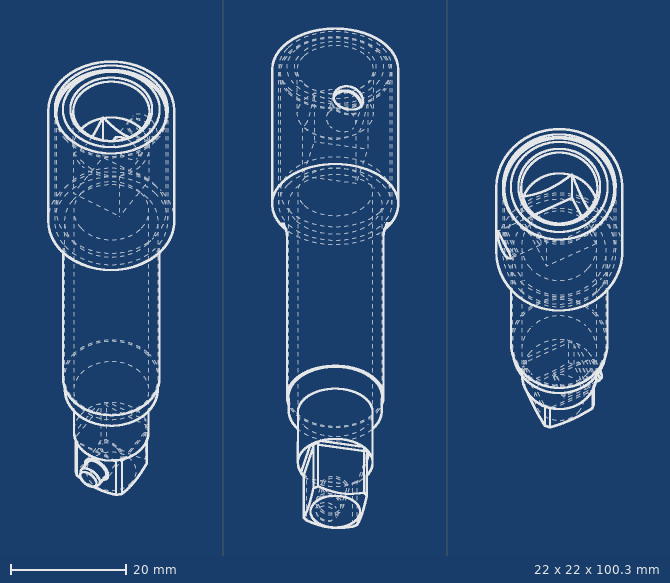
import cadquery as cq
import math

TOTAL_LENGTH = 100.3

HEAD_DIAMETER = 22.0
HEAD_RADIUS = HEAD_DIAMETER / 2
HANDLE_RADIUS = 8.4
HEAD_BOTTOM = 69.4
FLARE_BOTTOM = 62.7
HANDLE_BOTTOM = 26.0
SLEEVE_TOP_FILLET = 0.5
HEAD_CAVITY_RADIUS = 9.8

COLLAR_RADIUS = 8.1
COLLAR_BOTTOM = 22.4
COLLAR_FILLET = 0.5

CORE_HEAD_RADIUS = 9.5
CORE_HEAD_BOTTOM = 72.2
SHANK_RADIUS = 6.5
SHOULDER_HEIGHT = 11.0
RIM_RADIUS = 8.4
RIM_CHAMFER_DEPTH = 1.2

BORE_RADIUS = 6.6
BORE_CHAMFER = 0.5
BORE_DEPTH = 10.4
SQUARE_SOCKET = 9.5
SQUARE_SOCKET_DEPTH = 11.0
LEAD_IN_ANGLE = 45.0

SQUARE_DRIVE = 9.5
DRIVE_EDGE_CHAMFER = 0.7
NECK_CHAMFER = 0.5
DRIVE_TIP_RADIUS = 4.3
DRIVE_TIP_ANGLE = 30.0

PIN_HEIGHT = 5.5
PIN_RADIUS = 2.0
PIN_TIP = 7.5
PIN_SHOULDER = 6.8
PIN_DOME_RADIUS = 1.7
PIN_FLAT_RADIUS = 1.0
PIN_DOME_HEIGHT = 0.1
BUSHING_RADIUS = 2.4
PIN_INNER_END = 0.0

RELEASE_HOLE_RADIUS = 2.6
RELEASE_HOLE_DROP = 15.7

FLARE_STEP = HEAD_RADIUS - HANDLE_RADIUS
FLARE_HEIGHT = HEAD_BOTTOM - FLARE_BOTTOM
FLARE_RADIUS = (FLARE_STEP**2 + FLARE_HEIGHT**2) / (2 * FLARE_STEP)
GROOVE_BOTTOM = TOTAL_LENGTH - RIM_CHAMFER_DEPTH
BORE_BOTTOM = TOTAL_LENGTH - BORE_DEPTH


def cylinder(radius, bottom, top):
    """A cylinder on the tool axis."""
    return cq.Workplane("XY").workplane(offset=bottom).circle(radius).extrude(top - bottom)


def radial_cylinder(radius, height, y_from, y_to):
    """A cylinder along Y at the given height."""
    plane = cq.Plane(origin=(0, y_from, height), xDir=(1, 0, 0), normal=(0, 1, 0))
    return cq.Workplane(plane).circle(radius).extrude(y_to - y_from)


def release_hole():
    """Radial hole from the +Y side into the square socket."""
    return radial_cylinder(RELEASE_HOLE_RADIUS, TOTAL_LENGTH - RELEASE_HOLE_DROP, 0, 2 * HEAD_RADIUS)


def make_outer_sleeve():
    """Grip sleeve: wide head, flare and thin-walled handle."""
    half_angle = math.asin(FLARE_HEIGHT / FLARE_RADIUS) / 2
    flare_middle = (
        HANDLE_RADIUS + FLARE_RADIUS * (1 - math.cos(half_angle)),
        FLARE_BOTTOM + FLARE_RADIUS * math.sin(half_angle),
    )
    body = (
        cq.Workplane("XZ")
        .moveTo(0, HANDLE_BOTTOM)
        .lineTo(HANDLE_RADIUS, HANDLE_BOTTOM)
        .lineTo(HANDLE_RADIUS, FLARE_BOTTOM)
        .threePointArc(flare_middle, (HEAD_RADIUS, HEAD_BOTTOM))
        .lineTo(HEAD_RADIUS, TOTAL_LENGTH)
        .lineTo(0, TOTAL_LENGTH)
        .close()
        .revolve(360, (0, 0), (0, 1))
        .faces(">Z")
        .edges()
        .fillet(SLEEVE_TOP_FILLET)
    )
    handle_cavity = cylinder(COLLAR_RADIUS, HANDLE_BOTTOM, HEAD_BOTTOM)
    head_cavity = cylinder(HEAD_CAVITY_RADIUS, HEAD_BOTTOM, TOTAL_LENGTH)
    return body.cut(handle_cavity).cut(head_cavity).cut(release_hole())


def make_inner_sleeve():
    """Sleeve between the core and the outer sleeve; its collar shows below the handle."""
    collar = cylinder(COLLAR_RADIUS, COLLAR_BOTTOM, HEAD_BOTTOM)
    collar = collar.faces("<Z").edges().fillet(COLLAR_FILLET)
    liner = cylinder(HEAD_CAVITY_RADIUS, HEAD_BOTTOM, GROOVE_BOTTOM)
    shank_cavity = cylinder(SHANK_RADIUS, COLLAR_BOTTOM, CORE_HEAD_BOTTOM)
    head_cavity = cylinder(CORE_HEAD_RADIUS, CORE_HEAD_BOTTOM, GROOVE_BOTTOM)
    return collar.union(liner).cut(shank_cavity).cut(head_cavity).cut(release_hole())


def make_square_drive():
    """Male square with chamfered long edges and a conical tip."""
    drive = (
        cq.Workplane("XY")
        .rect(SQUARE_DRIVE, SQUARE_DRIVE)
        .extrude(SHOULDER_HEIGHT)
        .edges("|Z")
        .chamfer(DRIVE_EDGE_CHAMFER)
    )
    tip_height = (SHANK_RADIUS - DRIVE_TIP_RADIUS) * math.tan(math.radians(DRIVE_TIP_ANGLE))
    envelope = (
        cq.Workplane("XZ")
        .polyline([
            (0, 0),
            (DRIVE_TIP_RADIUS, 0),
            (SHANK_RADIUS, tip_height),
            (SHANK_RADIUS, SHOULDER_HEIGHT),
            (0, SHOULDER_HEIGHT),
        ])
        .close()
        .revolve(360, (0, 0), (0, 1))
    )
    return drive.intersect(envelope)


def make_neck():
    """Chamfers that join the four drive faces to the shoulder, as two crossing wedges."""
    face_width = SQUARE_DRIVE - 2 * DRIVE_EDGE_CHAMFER
    half_side = SQUARE_DRIVE / 2
    wedge = (
        cq.Workplane("XZ")
        .polyline([
            (-half_side, SHOULDER_HEIGHT - NECK_CHAMFER),
            (half_side, SHOULDER_HEIGHT - NECK_CHAMFER),
            (half_side + NECK_CHAMFER, SHOULDER_HEIGHT),
            (-half_side - NECK_CHAMFER, SHOULDER_HEIGHT),
        ])
        .close()
        .extrude(face_width / 2, both=True)
    )
    crossing_wedge = wedge.rotate((0, 0, 0), (0, 0, 1), 90)
    return wedge.union(crossing_wedge).intersect(cylinder(SHANK_RADIUS, 0, SHOULDER_HEIGHT))


def socket_cavity():
    """Round bore with a conical lead-in to the square socket."""
    slope = math.tan(math.radians(LEAD_IN_ANGLE))
    bore = (
        cq.Workplane("XZ")
        .polyline([
            (0, TOTAL_LENGTH),
            (BORE_RADIUS + BORE_CHAMFER, TOTAL_LENGTH),
            (BORE_RADIUS, TOTAL_LENGTH - BORE_CHAMFER),
            (BORE_RADIUS, BORE_BOTTOM),
            (0, BORE_BOTTOM - BORE_RADIUS * slope),
        ])
        .close()
        .revolve(360, (0, 0), (0, 1))
    )
    square = (
        cq.Workplane("XY")
        .workplane(offset=BORE_BOTTOM)
        .rect(SQUARE_SOCKET, SQUARE_SOCKET)
        .extrude(-SQUARE_SOCKET_DEPTH)
    )
    return bore.union(square)


def make_core():
    """Drive core: square drive, round shank and socketed head."""
    shank = cylinder(SHANK_RADIUS, SHOULDER_HEIGHT, CORE_HEAD_BOTTOM)
    head = cylinder(CORE_HEAD_RADIUS, CORE_HEAD_BOTTOM, TOTAL_LENGTH)
    head = head.faces(">Z").edges().chamfer(RIM_CHAMFER_DEPTH, CORE_HEAD_RADIUS - RIM_RADIUS)
    pin_hole = radial_cylinder(BUSHING_RADIUS, PIN_HEIGHT, -SHANK_RADIUS, PIN_INNER_END)
    return (
        make_square_drive()
        .union(make_neck())
        .union(shank)
        .union(head)
        .cut(socket_cavity())
        .cut(pin_hole)
        .cut(release_hole())
    )


def make_bushing():
    """Ring around the pin, flush with the drive face."""
    ring = radial_cylinder(BUSHING_RADIUS, PIN_HEIGHT, -SQUARE_DRIVE / 2, PIN_INNER_END)
    return ring.cut(radial_cylinder(PIN_RADIUS, PIN_HEIGHT, -SQUARE_DRIVE / 2, PIN_INNER_END))


def make_pin():
    """Detent pin with a tapered tip, pointing to -Y."""
    return (
        cq.Workplane("XY")
        .polyline([
            (0, PIN_INNER_END),
            (PIN_RADIUS, PIN_INNER_END),
            (PIN_RADIUS, -PIN_SHOULDER),
            (PIN_DOME_RADIUS, -PIN_TIP + PIN_DOME_HEIGHT),
            (PIN_FLAT_RADIUS, -PIN_TIP),
            (0, -PIN_TIP),
        ])
        .close()
        .revolve(360, (0, 0), (0, 1))
        .translate((0, 0, PIN_HEIGHT))
    )


outer_sleeve = make_outer_sleeve()
inner_sleeve = make_inner_sleeve()
core = make_core()
bushing = make_bushing()
pin = make_pin()

result = cq.Compound.makeCompound([
    outer_sleeve.val(),
    inner_sleeve.val(),
    core.val(),
    bushing.val(),
    pin.val(),
])